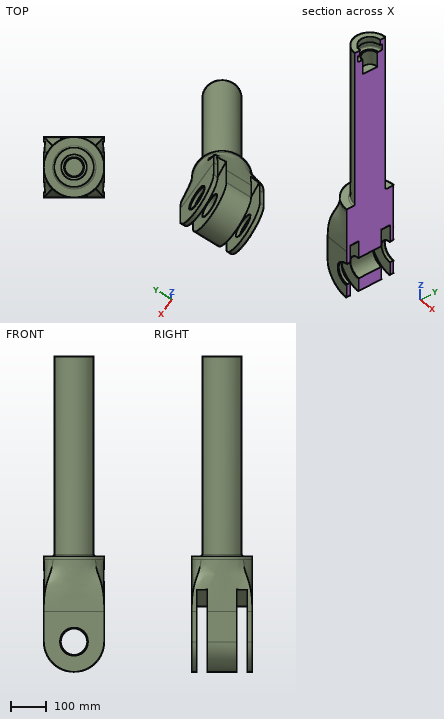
import cadquery as cq
import math

total_height = 885.0
body_width = 170.0
half_width = body_width / 2
chamfer_angle = 45

pin_bore_diameter = 73.5
pin_bore_chamfer = 3.0
tongue_bore_chamfer = 1.0
tongue_width = 83.0
cheek_thickness = 14.0
slot_mid_height = 183.0
slot_ceiling_angle = 30

square_top = body_width
collar_bottom = 316.0
collar_top = 325.0
transition_steps = 6
control_rise = 2 / 3

rod_diameter = 111.0
root_fillet = 5.0
mouth_diameter = 72.0
mouth_depth = 20.0
recess_diameter = 85.0
recess_floor_depth = 40.0
recess_floor_fillet = 2.0
bore_diameter = 51.0
bore_chamfer = 3.0
bore_depth = 53.0


def bezier(p0, p1, p2, p3, t):
    """One coordinate of a cubic Bezier curve at parameter t."""
    s = 1 - t
    return s**3 * p0 + 3 * s**2 * t * p1 + 3 * s * t**2 * p2 + t**3 * p3


def make_clevis_block():
    """Square block whose lower end is rounded about the pin axis."""
    return (
        cq.Workplane("XZ")
        .workplane(offset=-half_width)
        .moveTo(-half_width, half_width)
        .threePointArc((0, 0), (half_width, half_width))
        .lineTo(half_width, square_top)
        .lineTo(-half_width, square_top)
        .close()
        .extrude(body_width)
    )


def transition_section(corner, height):
    """Four arcs through the side midpoints, meeting at the diagonal corners."""
    return (
        cq.Workplane("XY", origin=(0, 0, height))
        .moveTo(-corner, -corner)
        .threePointArc((0, -half_width), (corner, -corner))
        .threePointArc((half_width, 0), (corner, corner))
        .threePointArc((0, half_width), (-corner, corner))
        .threePointArc((-half_width, 0), (-corner, -corner))
        .close()
        .wire()
        .val()
    )


def make_transition():
    """Loft from the square block to the circle, corners following an S-shaped curve."""
    circle_corner = half_width / 2**0.5
    square = cq.Workplane("XY", origin=(0, 0, square_top)).rect(body_width, body_width).val()
    sections = [square]
    for step in range(1, transition_steps + 1):
        t = step / transition_steps
        corner = bezier(half_width, half_width, circle_corner, circle_corner, t)
        rise = bezier(0, control_rise, control_rise, 1, t)
        height = square_top + (collar_bottom - square_top) * rise
        sections.append(transition_section(corner, height))
    return cq.Workplane(cq.occ_impl.shapes.loft(sections, cap=True, parametrization="uniform"))


def make_collar_and_rod():
    """Round collar carrying the rod, filleted where the rod rises from it."""
    return (
        cq.Workplane("XY", origin=(0, 0, collar_bottom))
        .circle(half_width)
        .extrude(collar_top - collar_bottom)
        .faces(">Z")
        .workplane()
        .circle(rod_diameter / 2)
        .extrude(total_height - collar_top)
        .faces("<Z[-2]")
        .edges(cq.selectors.RadiusNthSelector(0))
        .fillet(root_fillet)
    )


def make_slot(side):
    """Slot between tongue and cheek, with a shallow V ceiling lowest on the axis."""
    inner = tongue_width / 2
    outer = half_width - cheek_thickness
    clearance = 9.0
    reach = body_width
    reach_height = slot_mid_height + reach * math.tan(math.radians(slot_ceiling_angle))
    return (
        cq.Workplane("XZ", origin=(0, side * (inner + outer) / 2, 0))
        .moveTo(-reach, -clearance)
        .lineTo(reach, -clearance)
        .lineTo(reach, reach_height)
        .lineTo(0, slot_mid_height)
        .lineTo(-reach, reach_height)
        .close()
        .extrude((outer - inner) / 2, both=True)
    )


def chamfered_drill(origin, plane, diameter, depth, chamfer):
    """Drill shape going into the part from origin, widened by a chamfer at its mouth."""
    drill = cq.Workplane(plane, origin=origin).circle(diameter / 2).extrude(-depth)
    mouth = cq.Workplane(plane, origin=origin).circle(diameter / 2 + chamfer).extrude(-chamfer, taper=chamfer_angle)
    return drill.union(mouth)


def make_pin_bore():
    """Bore through cheeks and tongue, chamfered at the cheek outer faces and the tongue faces."""
    cheek_bore = chamfered_drill(
        (0, -half_width, half_width), "XZ", pin_bore_diameter, cheek_thickness, pin_bore_chamfer
    )
    tongue_bore = chamfered_drill(
        (0, -tongue_width / 2, half_width), "XZ", pin_bore_diameter, tongue_width / 2, tongue_bore_chamfer
    )
    near_side = cheek_bore.union(tongue_bore)
    return near_side.union(near_side.mirror("XZ"))


def make_rod_socket():
    """Mouth opening into a wider recess, with a narrower chamfered hole in its floor."""
    mouth = cq.Workplane("XY", origin=(0, 0, total_height)).circle(mouth_diameter / 2).extrude(-mouth_depth)
    floor_height = total_height - recess_floor_depth
    recess = (
        cq.Workplane("XY", origin=(0, 0, floor_height))
        .circle(recess_diameter / 2)
        .extrude(recess_floor_depth - mouth_depth)
        .faces("<Z")
        .edges()
        .fillet(recess_floor_fillet)
    )
    bore = chamfered_drill((0, 0, floor_height), "XY", bore_diameter, bore_depth, bore_chamfer)
    return mouth.union(recess).union(bore)


result = make_clevis_block().union(make_transition()).union(make_collar_and_rod())
for side in (-1, 1):
    result = result.cut(make_slot(side))
result = result.cut(make_pin_bore()).cut(make_rod_socket())